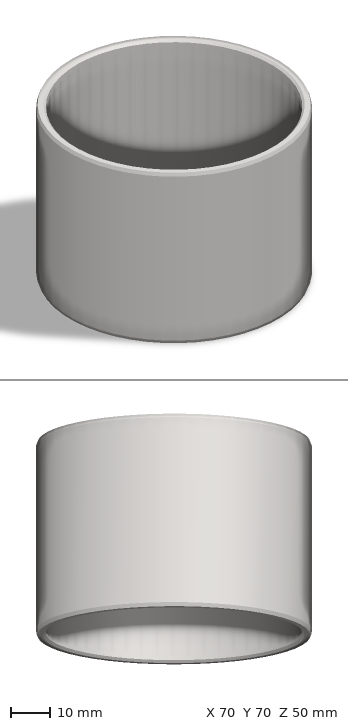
import cadquery as cq

outer_diameter = 70.0
inner_diameter = 65.0
height = 50.0

outer_bevel_length = 1.0
outer_bevel_width = 0.385
inner_bevel_length = 0.6
inner_bevel_width = 0.6

outer_radius = outer_diameter / 2
inner_radius = inner_diameter / 2
half_height = height / 2

wall_section = (
    cq.Workplane("XZ")
    .moveTo(outer_radius, -half_height + outer_bevel_length)
    .lineTo(outer_radius, half_height - outer_bevel_length)
    .lineTo(outer_radius - outer_bevel_width, half_height)
    .lineTo(inner_radius + inner_bevel_width, half_height)
    .lineTo(inner_radius, half_height - inner_bevel_length)
    .lineTo(inner_radius, -half_height + inner_bevel_length)
    .lineTo(inner_radius + inner_bevel_width, -half_height)
    .lineTo(outer_radius - outer_bevel_width, -half_height)
    .close()
)

result = wall_section.revolve(360, (0, 0, 0), (0, 1, 0))